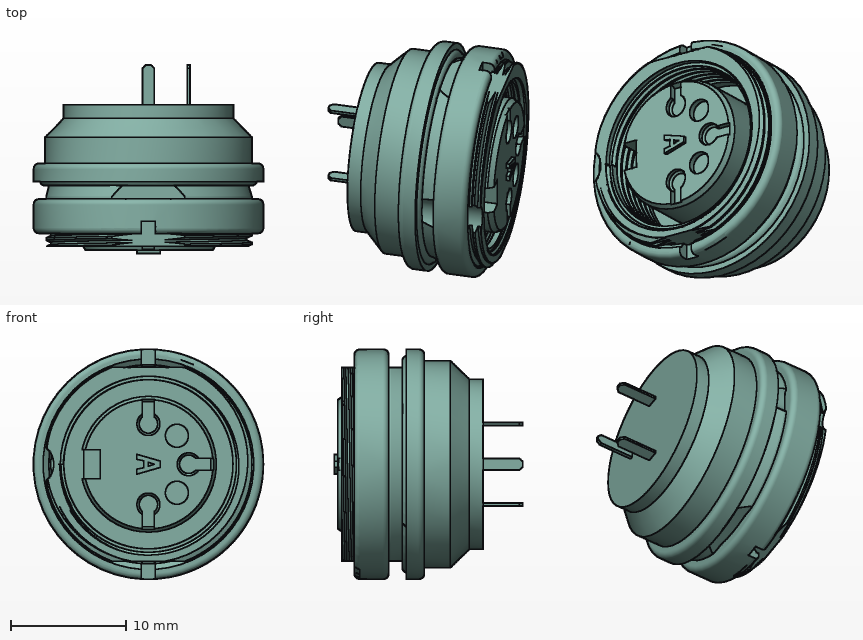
import cadquery as cq
import math


thread_d = 18.0
thread_root_d = 17.1
thread_pitch = 0.75
groove_start_y = -0.51
groove_length = 2.6
root_flat = 0.2
groove_mouth = 0.62
groove_overlap = 0.05
thread_end_y = 4.3
neck_end_d = 17.45
seal_d = 18.9
seal_start_y = 5.25
seal_section_d = 1.0
flange_d = 20.0
flange_start_y = 5.6
flange_end_y = 7.2
rim_fillet = 0.5
body_d = 18.0
body_end_y = 9.45
tail_d = 14.8
cone_end_y = 11.1
tail_end_y = 12.3

flat_width = 16.85
scallop_radius = 1.85
scallop_floor = 8.22

nut_start_y = 1.1
nut_end_y = 4.1
nut_relief_d = 18.3
nut_relief_depth = 0.2
nut_bevel_depth = 0.4
nut_thread_minor_d = 17.3
nut_slot_width = 1.2
nut_slot_depth = 1.05

bore_d = 14.7
bore_groove_d = 15.3
bore_mouth_d = bore_groove_d
bore_mouth_depth = 0.5
bore_depth = 6.0
bore_groove_start_y = 0.75
bore_groove_length = 4.5
runout_d = 15.8
runout_start_y = -0.5

insert_d = 11.8
insert_front_y = -0.35
insert_chamfer = 0.28
insert_chamfer_depth = 0.5
key_width = 2.54
key_inner_x = -4.18
key_step_x = -5.62
key_step_height = 0.4

contact_radius = 3.5
hole_d = 2.0
hole_floor_d = 1.6
hole_depth = 0.6
countersink_depth = 0.2
slot_width = 1.06
slot_end_front = 5.7
slot_end_floor = 5.42
keyhole_angles = (0, 90, 270)
plain_hole_angles = (45, 315)
tail_width = 1.04
tail_thickness = 0.27
tail_tip_y = 15.75
tail_tip_chamfer = 0.3

mark_height = 0.3
mark_foot_x = -0.99
mark_foot_outer_z = 0.86
mark_foot_inner_z = 0.42
mark_apex_x = 1.05
mark_apex_z = 0.27
mark_crotch_x = -0.41
mark_crotch_z = 0.31
mark_window_z = 0.17
mark_window_tip_x = 0.5


def revolve_y(points):
    """Solid of revolution about Y from (radius, y) points."""
    return cq.Workplane("XY").polyline(points).close().revolve(360, (0, 0, 0), (0, 1, 0))


def disc(diameter, start_y, end_y):
    return revolve_y([(0, start_y), (diameter / 2, start_y), (diameter / 2, end_y), (0, end_y)])


def block(x_range, y_range, z_range):
    """Box given by its low and high limits along each axis."""
    lows, highs = zip(x_range, y_range, z_range)
    sizes = [high - low for low, high in zip(lows, highs)]
    return cq.Workplane("XY").box(*sizes, centered=False).translate(lows)


def extrude_y(points, start_y, end_y):
    """Prism along +Y from (x, z) points."""
    outline = cq.Workplane("XZ", origin=(0, start_y, 0)).polyline(points).close()
    return outline.extrude(start_y - end_y)


def turn_about_axis(shape, degrees):
    """Turn from +X towards +Z about the connector axis."""
    return shape.rotate((0, 0, 0), (0, 1, 0), -degrees)


def thread_groove(mouth_d, root_d, start_y, length):
    """Right-hand helical groove, wider at its mouth, beginning at the -X side."""
    outward = math.copysign(1, mouth_d - root_d)
    mouth_radius = mouth_d / 2 + outward * groove_overlap
    half_mouth = groove_mouth / 2
    half_flat = root_flat / 2
    path = cq.Wire.makeHelix(thread_pitch, length, root_d / 2)
    groove = (
        cq.Workplane("XZ")
        .polyline([
            (mouth_radius, -half_mouth),
            (root_d / 2, -half_flat),
            (root_d / 2, half_flat),
            (mouth_radius, half_mouth),
        ])
        .close()
        .sweep(cq.Workplane(path), isFrenet=True)
    )
    groove = groove.rotate((0, 0, 0), (0, 0, 1), 180).rotate((0, 0, 0), (1, 0, 0), -90)
    return groove.translate((0, start_y, 0))


def make_threaded_barrel():
    barrel = revolve_y([
        (0, 0),
        (thread_d / 2, 0),
        (thread_d / 2, thread_end_y),
        (neck_end_d / 2, seal_start_y),
        (neck_end_d / 2, flange_start_y),
        (0, flange_start_y),
    ])
    barrel = barrel.cut(thread_groove(thread_d, thread_root_d, groove_start_y, groove_length))
    flats = block((-thread_d, thread_d), (0, flange_start_y), (-flat_width / 2, flat_width / 2))
    scallop = (
        cq.Workplane("XZ", origin=(-scallop_floor - scallop_radius, 0, 0))
        .circle(scallop_radius)
        .extrude(-flange_start_y)
    )
    return barrel.intersect(flats).cut(scallop)


def make_flange_and_body():
    seal_radius = seal_section_d / 2
    seal_ring_radius = seal_d / 2 - seal_radius
    seal = (
        cq.Workplane("XY")
        .center(seal_ring_radius, seal_start_y + seal_radius)
        .circle(seal_radius)
        .revolve(360, (-seal_ring_radius, 0, 0), (-seal_ring_radius, 1, 0))
    )
    flange = disc(flange_d, flange_start_y, flange_end_y).faces(">Y").edges().fillet(rim_fillet)
    body = revolve_y([
        (0, flange_end_y),
        (body_d / 2, flange_end_y),
        (body_d / 2, body_end_y),
        (tail_d / 2, cone_end_y),
        (tail_d / 2, tail_end_y),
        (0, tail_end_y),
    ])
    return flange.union(seal).union(body)


def make_nut():
    nut = disc(flange_d, nut_start_y, nut_end_y).edges().fillet(rim_fillet)
    relief_end_y = nut_start_y + nut_relief_depth
    bore = revolve_y([
        (0, nut_start_y),
        (nut_relief_d / 2, nut_start_y),
        (nut_relief_d / 2, relief_end_y),
        (nut_thread_minor_d / 2, relief_end_y + nut_bevel_depth),
        (nut_thread_minor_d / 2, nut_end_y),
        (0, nut_end_y),
    ])
    spanner_slots = block(
        (-nut_slot_width / 2, nut_slot_width / 2),
        (nut_start_y, nut_start_y + nut_slot_depth),
        (-flange_d, flange_d),
    )
    return nut.cut(bore).cut(spanner_slots)


def make_socket_bore():
    bore = revolve_y([
        (0, 0),
        (bore_mouth_d / 2, 0),
        (bore_mouth_d / 2, bore_mouth_depth),
        (bore_d / 2, bore_mouth_depth),
        (bore_d / 2, bore_depth),
        (0, bore_depth),
    ])
    groove = thread_groove(bore_d, bore_groove_d, bore_groove_start_y, bore_groove_length)
    return bore.union(groove)


def make_bore_runout():
    """One turn of groove that runs out through the shell rim."""
    return thread_groove(bore_mouth_d, runout_d, runout_start_y, thread_pitch)


def make_hole(angle):
    """Plain blind contact hole."""
    hole = disc(hole_d, insert_front_y, insert_front_y + hole_depth)
    return turn_about_axis(hole.translate((contact_radius, 0, 0)), angle)


def make_keyhole(angle):
    """Contact hole with a tapered floor edge and a slot running outwards to a sloping end."""
    floor_y = insert_front_y + hole_depth
    taper_y = floor_y - countersink_depth
    hole = revolve_y([
        (0, insert_front_y),
        (hole_d / 2, insert_front_y),
        (hole_d / 2, taper_y),
        (hole_floor_d / 2, floor_y),
        (0, floor_y),
    ]).translate((contact_radius, 0, 0))
    slot = (
        cq.Workplane("XY")
        .polyline([
            (contact_radius, insert_front_y),
            (slot_end_front, insert_front_y),
            (slot_end_floor, floor_y),
            (contact_radius, floor_y),
        ])
        .close()
        .extrude(slot_width / 2, both=True)
    )
    return turn_about_axis(hole.union(slot), angle)


def make_insert():
    insert = revolve_y([
        (0, insert_front_y),
        (insert_d / 2 - insert_chamfer, insert_front_y),
        (insert_d / 2, insert_front_y + insert_chamfer_depth),
        (insert_d / 2, bore_depth),
        (0, bore_depth),
    ])
    key_z = (-key_width / 2, key_width / 2)
    keyway = block((key_step_x, key_inner_x), (insert_front_y, bore_depth - key_step_height), key_z)
    keyway_mouth = block((-insert_d / 2, key_step_x), (insert_front_y, bore_depth), key_z)
    insert = insert.cut(keyway).cut(keyway_mouth)
    for angle in keyhole_angles:
        insert = insert.cut(make_keyhole(angle))
    for angle in plain_hole_angles:
        insert = insert.cut(make_hole(angle))
    return insert


def make_polarity_mark():
    """Raised letter A with its apex towards +X."""
    outline = [
        (mark_foot_x, mark_foot_outer_z),
        (mark_apex_x, mark_apex_z),
        (mark_apex_x, -mark_apex_z),
        (mark_foot_x, -mark_foot_outer_z),
        (mark_foot_x, -mark_foot_inner_z),
        (mark_crotch_x, -mark_crotch_z),
        (mark_crotch_x, mark_crotch_z),
        (mark_foot_x, mark_foot_inner_z),
    ]
    window = [(0, mark_window_z), (mark_window_tip_x, 0), (0, -mark_window_z)]
    mark_front_y = insert_front_y - mark_height
    mark = extrude_y(outline, mark_front_y, insert_front_y)
    return mark.cut(extrude_y(window, mark_front_y, insert_front_y))


def make_solder_tail(angle):
    """Flat tail, broad side facing outwards from the axis."""
    tail = block(
        (contact_radius - tail_thickness / 2, contact_radius + tail_thickness / 2),
        (tail_end_y, tail_tip_y),
        (-tail_width / 2, tail_width / 2),
    )
    tail = tail.faces(">Y").edges("|X").chamfer(tail_tip_chamfer)
    return turn_about_axis(tail, angle)


result = make_threaded_barrel().union(make_flange_and_body()).union(make_nut())
result = result.cut(make_socket_bore()).cut(make_bore_runout())
result = result.union(make_insert()).union(make_polarity_mark())
for tail_angle in keyhole_angles:
    result = result.union(make_solder_tail(tail_angle))